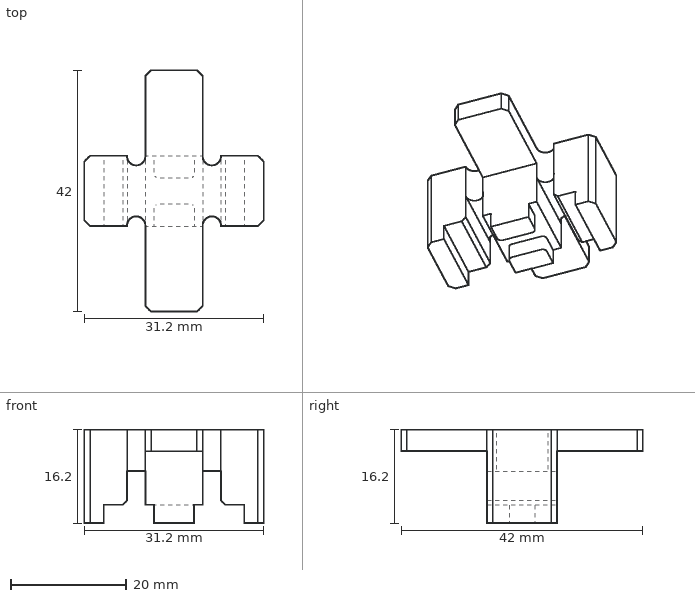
import cadquery as cq

body_length = 31.2
arm_span = 42.0
height = 16.25

body_width = 12.22
arm_width = 10.0
arm_thickness = 3.75
corner_chamfer = 1.0

slot_width = 3.15
slot_roof_depth = 7.22
slot_center_x = (arm_width + slot_width) / 2
slot_outer_x = arm_width / 2 + slot_width
slot_height = height - slot_roof_depth

relief_radius = slot_width / 2
relief_inset = 0.1

foot_height = 3.2
middle_foot_width = 6.97
outer_foot_width = 3.4
leg_edge_chamfer = 0.75
middle_foot_depth = 3.85
middle_foot_fillet = 0.8


def bar(length_x, length_y, thickness):
    """Rectangular bar hanging from the top face, with chamfered vertical edges."""
    block = cq.Workplane("XY").box(length_x, length_y, thickness, centered=(True, True, False))
    return block.edges("|Z").chamfer(corner_chamfer).translate((0, 0, height - thickness))


def corner_relief(side_x, side_y):
    """Round-ended notch through the full height, open to one body side."""
    axis_x = side_x * slot_center_x
    axis_y = side_y * (body_width / 2 - relief_inset)
    round_end = cq.Workplane("XY").center(axis_x, axis_y).circle(relief_radius).extrude(height)
    mouth = (
        cq.Workplane("XY")
        .center(axis_x, axis_y + side_y * relief_radius / 2)
        .rect(slot_width, relief_radius)
        .extrude(height)
    )
    return round_end.union(mouth)


def leg_gap():
    """Slot and foot steps on the +X side, cut along the whole body width."""
    middle_foot_x = middle_foot_width / 2
    outer_foot_x = body_length / 2 - outer_foot_width
    profile = [
        (middle_foot_x, 0),
        (middle_foot_x, foot_height),
        (arm_width / 2, foot_height),
        (arm_width / 2, slot_height),
        (slot_outer_x, slot_height),
        (slot_outer_x, foot_height + leg_edge_chamfer),
        (slot_outer_x + leg_edge_chamfer, foot_height),
        (outer_foot_x, foot_height),
        (outer_foot_x, 0),
    ]
    return cq.Workplane("XZ").polyline(profile).close().extrude(body_width / 2, both=True)


def middle_foot_gap():
    """Cross channel between the two middle feet, leaving their inner edges rounded."""
    clearing = cq.Workplane("XY").rect(middle_foot_width, body_width).extrude(foot_height)
    foot_center_y = (body_width - middle_foot_depth) / 2
    feet = (
        cq.Workplane("XY")
        .pushPoints([(0, -foot_center_y), (0, foot_center_y)])
        .rect(middle_foot_width, middle_foot_depth)
        .extrude(foot_height)
    )
    inner_edges = cq.selectors.BoxSelector(
        (-middle_foot_width, -foot_center_y, 0),
        (middle_foot_width, foot_center_y, foot_height),
    )
    feet = feet.edges("|Z").edges(inner_edges).fillet(middle_foot_fillet)
    return clearing.cut(feet)


body = bar(body_length, body_width, height)
arms = bar(arm_width, arm_span, arm_thickness)
result = body.union(arms)

for side_x in (-1, 1):
    for side_y in (-1, 1):
        result = result.cut(corner_relief(side_x, side_y))

right_gap = leg_gap()
result = result.cut(right_gap).cut(right_gap.mirror("YZ"))
result = result.cut(middle_foot_gap())